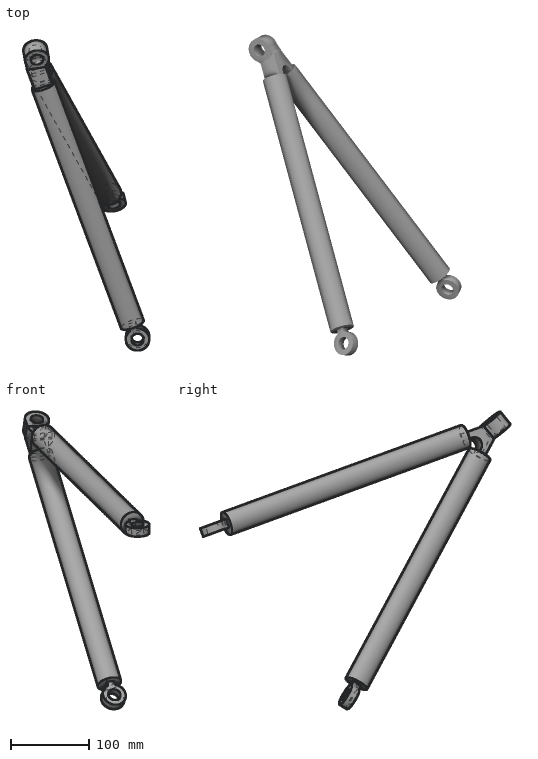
import cadquery as cq
import math

LEG_ANGLE = 40.0
HALF_ANGLE = LEG_ANGLE / 2

ROLL = 98.6
DIP = 38.7
HEADING = -66.4

TUBE_RADIUS = 15.5
TUBE_START = 43.5
TUBE_LENGTH = 343.0
TUBE_END = TUBE_START + TUBE_LENGTH

EYE_RADIUS = 15.0
EYE_BORE_RADIUS = 8.0
EYE_THICKNESS = 11.5
EYE_CENTRE = TUBE_END + 20.0
NECK_WIDTH = 8.7
NECK_FILLET = 3.0
CORNER_MARGIN = 0.5

APEX_RADIUS = 15.5
APEX_THICKNESS = 20.5
APEX_BORE_RADIUS = 8.0
BEND_STATION = 14.3
BEND_ANGLE = 22.0
MITRE_SIZE = 158.5
FORK_WIDTH = 23.8
ARM_THICKNESS = 9.0
CROTCH_CENTRE = 41.5


def box_along_x(start, end, size_y, size_z):
    """Rectangular bar centred on the X axis between two stations."""
    return cq.Workplane("XY").box(end - start, size_y, size_z).translate(((start + end) / 2, 0, 0))


def cylinder_across(centre, radius, height):
    """Cylinder along Y, centred on the X axis at the given station."""
    return cq.Workplane("XZ").center(centre, 0).circle(radius).extrude(height / 2, both=True)


def make_leg():
    """Tube with its end eye, along +X."""
    tube = cq.Workplane("YZ").workplane(offset=TUBE_START).circle(TUBE_RADIUS).extrude(TUBE_LENGTH)
    neck = box_along_x(TUBE_END, EYE_CENTRE, EYE_THICKNESS, NECK_WIDTH)
    eye = cylinder_across(EYE_CENTRE, EYE_RADIUS, EYE_THICKNESS).union(neck)
    neck_corner = EYE_CENTRE - math.sqrt(EYE_RADIUS**2 - (NECK_WIDTH / 2) ** 2)
    corner_zone = cq.selectors.BoxSelector(
        (neck_corner - CORNER_MARGIN, -EYE_THICKNESS, -NECK_WIDTH),
        (neck_corner + CORNER_MARGIN, EYE_THICKNESS, NECK_WIDTH),
    )
    eye = eye.edges("|Y").edges(corner_zone).fillet(NECK_FILLET)
    bore = cylinder_across(EYE_CENTRE, EYE_BORE_RADIUS, EYE_THICKNESS)
    return tube.union(eye.cut(bore))


def mitre_side(direction):
    """Block filling one side (+1 or -1 along X) of the plane that halves the bend."""
    block = cq.Workplane("XY").box(MITRE_SIZE, MITRE_SIZE, MITRE_SIZE)
    block = block.translate((BEND_STATION + direction * MITRE_SIZE / 2, 0, 0))
    return block.rotate((BEND_STATION, 0, 0), (BEND_STATION, 1, 0), -BEND_ANGLE / 2)


def make_lug():
    """Rounded apex eye, tapering to the fork width and bent out of the leg plane."""
    taper = (
        cq.Workplane("XZ")
        .moveTo(0, APEX_RADIUS)
        .lineTo(BEND_STATION, FORK_WIDTH / 2)
        .lineTo(2 * BEND_STATION, FORK_WIDTH / 2)
        .lineTo(2 * BEND_STATION, -FORK_WIDTH / 2)
        .lineTo(BEND_STATION, -FORK_WIDTH / 2)
        .lineTo(0, -APEX_RADIUS)
        .close()
        .extrude(APEX_THICKNESS / 2, both=True)
    )
    bore = cylinder_across(0, APEX_BORE_RADIUS, APEX_THICKNESS)
    lug = cylinder_across(0, APEX_RADIUS, APEX_THICKNESS).union(taper).cut(bore)
    lug = lug.rotate((BEND_STATION, 0, 0), (BEND_STATION, 1, 0), -BEND_ANGLE)
    return lug.intersect(mitre_side(-1))


def both_sides(leg):
    """Copies of a +X feature turned onto the two leg axes."""
    origin, normal = (0, 0, 0), (0, 0, 1)
    return leg.rotate(origin, normal, HALF_ANGLE).union(leg.rotate(origin, normal, -HALF_ANGLE))


def make_fork():
    """Two flat arms from the lug to the tubes, joined by a web with a round crotch."""
    arms = both_sides(box_along_x(0, TUBE_START, ARM_THICKNESS, FORK_WIDTH))
    half_angle = math.radians(HALF_ANGLE)
    crotch_radius = CROTCH_CENTRE * math.sin(half_angle) - ARM_THICKNESS / 2
    web_end = CROTCH_CENTRE - crotch_radius * math.sin(half_angle)
    web_half_height = web_end * math.tan(half_angle)
    web = (
        cq.Workplane("XY")
        .polyline([(0, 0), (web_end, web_half_height), (web_end, -web_half_height)])
        .close()
        .extrude(FORK_WIDTH / 2, both=True)
    )
    crotch = cq.Workplane("XY").center(CROTCH_CENTRE, 0).circle(crotch_radius)
    fork = arms.union(web).cut(crotch.extrude(FORK_WIDTH, both=True))
    return fork.intersect(mitre_side(1))


strut = make_lug().union(make_fork()).union(both_sides(make_leg()))

result = (
    strut.rotate((0, 0, 0), (1, 0, 0), ROLL)
    .rotate((0, 0, 0), (0, 1, 0), DIP)
    .rotate((0, 0, 0), (0, 0, 1), HEADING)
)